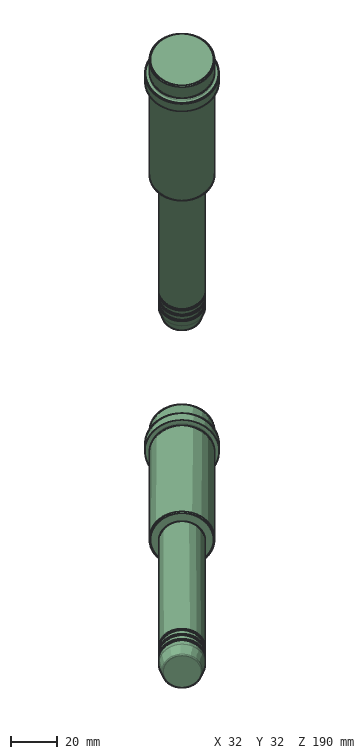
import cadquery as cq

length = 190.0
body_radius = 14.0
collar_radius = 16.0
shank_radius = 10.0

body_length = 85.9
collar_drop = 10.0
collar_height = 5.9
edge_chamfer = 0.5
collar_chamfer = 0.4

relief_width = 1.1
relief_depth = 0.5

tip_length = 6.0
tip_radius = 8.5
tip_round = 0.5

groove_count = 3
groove_pitch = 4.0
groove_radius = 0.5
groove_first_height = 9.7

body_bottom = length - body_length
collar_top = length - collar_drop
collar_bottom = collar_top - collar_height


def cylinder(radius, bottom, top):
    """Solid cylinder on the Z axis between two heights."""
    return cq.Workplane("XY").workplane(offset=bottom).circle(radius).extrude(top - bottom)


def square_groove(outer_radius, depth, bottom, width):
    """Ring to cut from a cylinder, leaving a square groove."""
    ring = cq.Workplane("XY").workplane(offset=bottom)
    return ring.circle(outer_radius + depth).circle(outer_radius - depth).extrude(width)


def round_groove(outer_radius, height):
    """Torus to cut from a cylinder, leaving a half-round groove."""
    return cq.Workplane(cq.Solid.makeTorus(outer_radius, groove_radius, cq.Vector(0, 0, height)))


tip = (
    cq.Workplane("XY")
    .circle(tip_radius)
    .workplane(offset=tip_length)
    .circle(shank_radius)
    .loft(ruled=True)
    .faces("<Z")
    .edges()
    .fillet(tip_round)
)

shank = cylinder(shank_radius, tip_length, body_bottom)
body = cylinder(body_radius, body_bottom, length).faces("<Z or >Z").edges().chamfer(edge_chamfer)
collar = cylinder(collar_radius, collar_bottom, collar_top).faces(">Z").edges().chamfer(collar_chamfer)

for undercut_height in (collar_top + groove_radius, collar_bottom - groove_radius):
    body = body.cut(round_groove(body_radius, undercut_height))
shank = shank.cut(square_groove(shank_radius, relief_depth, body_bottom - relief_width, relief_width))

for index in range(groove_count):
    shank = shank.cut(round_groove(shank_radius, groove_first_height + index * groove_pitch))

result = tip.union(shank).union(body).union(collar)